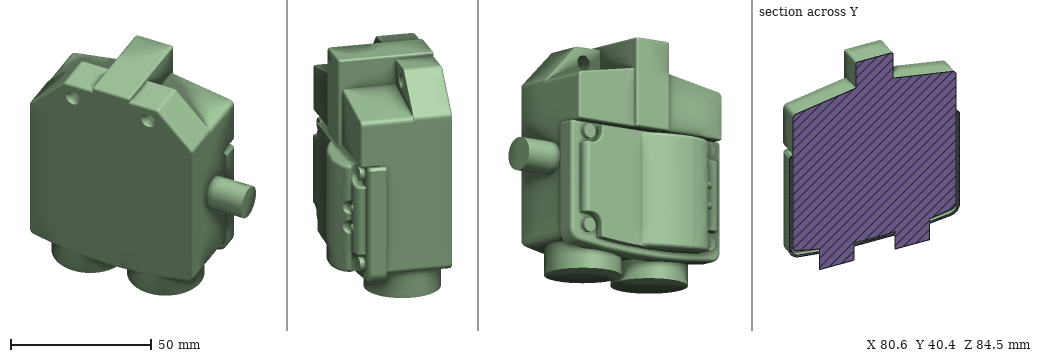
import cadquery as cq
import math

body_half_width = 32.5
plate_depth = 14.4
deck_depth = 26.95
shoulder_depth = 34.05
plate_top = 83.0
plate_top_half_width = 18.6
plate_side_top = 69.0
roof_apex = 74.8
roof_eave = 69.2
shoulder_bottom = 52.0
body_bottom_center = 7.2
body_bottom_side = 11.1
corner_radius = 2.0
front_edge_radius = 1.0
shoulder_edge_radius = 0.8

tongue_half_width = 7.5
tongue_depth = 35.6
tongue_top = 84.5
tongue_edge_radius = 0.85

pair_spacing = 30.1
hole_diameter = 5.5
hole_height = 77.4
socket_radius = 13.9
socket_axis_depth = 13.95
socket_length = 16.9
boss_radius = 6.0
boss_axis_depth = 17.0
boss_axis_height = 40.0
boss_end = 46.6

cover_half_width = 34.0
cover_front = 24.9
cover_depth = 31.5
cover_top = 51.9
cover_bottom_center = 5.9
cover_bottom_side = 8.45
cover_corner_radius = 4.2
cover_edge_radius = 1.3
cover_top_chamfer = 0.85
lip_thickness = 0.85

pad_half_width = 30.4
pad_depth = 35.15
pad_top = 50.45
pad_bottom_center = 8.7
pad_bottom_side = 10.7
pad_side_radius = 2.2
notch_edge_radius = 0.6
notch_inner = 23.0
notch_corner_radius = 4.2
notch_lower_end = 18.2
notch_upper_end = 43.9
screw_offset = notch_inner + notch_corner_radius
screw_heights = (notch_lower_end - notch_corner_radius, notch_upper_end + notch_corner_radius)
screw_radius = 2.5
screw_depth = 33.5

hump_peak_x = -13.9
hump_peak_depth = 40.4
hump_left_reach = 10.5
hump_slope_radius = 36.3
hump_edge_radius = 1.3
lamp_x = -25.5
lamp_heights = (27.3, 34.7)
lamp_radius = 1.6
lamp_center_depth = 34.5
lamp_recess_radius = 2.9


def front_plane(depth):
    """Sketch plane with X right and Z up, extruding towards the rear (+Y)."""
    return cq.Workplane(cq.Plane((0, depth, 0), (1, 0, 0), (0, -1, 0)))


def extrude_rear(sketch, start, end):
    return sketch.extrude(start - end)


def bowed_outline(start, half_width, top, bottom_center, bottom_side):
    """Rectangle whose bottom edge bows downwards."""
    return (
        front_plane(start)
        .moveTo(-half_width, top)
        .lineTo(half_width, top)
        .lineTo(half_width, bottom_side)
        .threePointArc((0, bottom_center), (-half_width, bottom_side))
        .close()
    )


def rear_box(half_width, start, end, bottom, top):
    """Box centred on X between two depths and two heights."""
    size = (2 * half_width, end - start, top - bottom)
    return cq.Workplane().box(*size, centered=(True, False, False)).translate((0, start, bottom))


def make_plate():
    outline = (
        front_plane(0)
        .moveTo(-body_half_width, body_bottom_side)
        .lineTo(-body_half_width, plate_side_top)
        .lineTo(-plate_top_half_width, plate_top)
        .lineTo(plate_top_half_width, plate_top)
        .lineTo(body_half_width, plate_side_top)
        .lineTo(body_half_width, body_bottom_side)
        .threePointArc((0, body_bottom_center), (-body_half_width, body_bottom_side))
        .close()
    )
    return extrude_rear(outline, 0, plate_depth).edges("|Y").fillet(corner_radius)


def make_lower_body():
    outline = bowed_outline(plate_depth, body_half_width, shoulder_bottom,
                            body_bottom_center, body_bottom_side)
    return extrude_rear(outline, plate_depth, deck_depth).edges("|Y").edges("<Z").fillet(corner_radius)


def roofed_block(start, end):
    """Upper body block with a roof sloping from the middle to both sides."""
    outline = (
        front_plane(start)
        .moveTo(-body_half_width, shoulder_bottom)
        .lineTo(-body_half_width, roof_eave)
        .lineTo(0, roof_apex)
        .lineTo(body_half_width, roof_eave)
        .lineTo(body_half_width, shoulder_bottom)
        .close()
    )
    eaves = cq.selectors.BoxSelector(
        (-2 * body_half_width, start, roof_eave - 0.85), (2 * body_half_width, end, roof_eave + 0.85)
    )
    return extrude_rear(outline, start, end).edges(eaves).edges("|Y").fillet(corner_radius)


def make_shoulder():
    inner_part = roofed_block(plate_depth, deck_depth)
    rear_part = roofed_block(deck_depth, shoulder_depth)
    rear_part = rear_part.faces("<Z").edges("|Y").fillet(shoulder_edge_radius)
    rear_part = rear_part.faces(">Y").edges().fillet(shoulder_edge_radius)
    return inner_part.union(rear_part)


def make_tongue():
    tongue = rear_box(tongue_half_width, 0, tongue_depth, shoulder_bottom, tongue_top)
    tongue = tongue.faces(">Z").edges("|Y").fillet(tongue_edge_radius)
    return tongue.faces(">Y").edges().fillet(tongue_edge_radius)


def make_body():
    body = make_plate().union(make_lower_body()).union(make_shoulder()).union(make_tongue())
    body = body.clean().faces("<Y").edges().fillet(front_edge_radius)
    for side in (-1, 1):
        x = side * pair_spacing / 2
        hole = front_plane(0).center(x, hole_height).circle(hole_diameter / 2)
        socket = cq.Workplane().center(x, socket_axis_depth).circle(socket_radius)
        body = body.cut(extrude_rear(hole, 0, plate_depth))
        body = body.union(socket.extrude(socket_length))
    boss = cq.Workplane("YZ").center(boss_axis_depth, boss_axis_height).circle(boss_radius)
    return body.union(boss.extrude(boss_end))


def make_cover():
    outline = bowed_outline(cover_front, cover_half_width, cover_top,
                            cover_bottom_center, cover_bottom_side)
    cover = extrude_rear(outline, cover_front, cover_depth)
    cover = cover.edges("|Y").edges("<Z").fillet(cover_corner_radius)
    cover = cover.edges("|Y").edges(">Z").chamfer(cover_top_chamfer)
    cover = cover.faces(">Y").edges().fillet(cover_edge_radius)
    cavity = bowed_outline(cover_front, cover_half_width - lip_thickness, cover_top - lip_thickness,
                           cover_bottom_center + lip_thickness, cover_bottom_side + lip_thickness)
    cavity = extrude_rear(cavity, cover_front, deck_depth)
    return cover.cut(cavity.edges("|Y").edges("<Z").fillet(cover_corner_radius - lip_thickness))


def pad_block(start, end):
    outline = bowed_outline(start, pad_half_width, pad_top, pad_bottom_center, pad_bottom_side)
    return extrude_rear(outline, start, end)


def make_pad():
    middle_band = rear_box(pad_half_width, deck_depth, pad_depth, notch_lower_end, notch_upper_end)
    center_column = rear_box(notch_inner, deck_depth, pad_depth, 0, pad_top)
    pad = middle_band.union(center_column.intersect(pad_block(deck_depth, pad_depth)))
    notch_corners = cq.selectors.BoxSelector(
        (-notch_inner - 0.85, deck_depth, notch_lower_end - 0.85),
        (notch_inner + 0.85, pad_depth, notch_upper_end + 0.85),
    )
    pad = pad.edges(notch_corners).edges("|Y").fillet(notch_corner_radius)
    pad = pad.faces("<X or >X").edges(">Y").fillet(pad_side_radius)
    notch_rims = (
        cq.selectors.BoxSelector((-pad_half_width, pad_depth - 0.1, side_bottom),
                                 (pad_half_width, pad_depth + 0.1, side_top))
        for side_bottom, side_top in ((0, notch_lower_end + 0.85), (notch_upper_end - 0.85, tongue_top))
    )
    for rim in notch_rims:
        pad = pad.faces(">Y").edges(rim).edges("not >Z").edges("not <Z").fillet(notch_edge_radius)
    for side in (-1, 1):
        for height in screw_heights:
            head = front_plane(deck_depth).center(side * screw_offset, height).circle(screw_radius)
            pad = pad.union(extrude_rear(head, deck_depth, screw_depth))
    return pad


def make_hump():
    rise = hump_peak_depth - pad_depth
    slope_angle = math.acos(1 - rise / hump_slope_radius)

    def slope_point(angle):
        return (hump_peak_x + hump_slope_radius * math.sin(angle),
                hump_peak_depth - hump_slope_radius * (1 - math.cos(angle)))

    profile = (
        cq.Workplane()
        .moveTo(hump_peak_x - hump_left_reach, pad_depth)
        .ellipseArc(hump_left_reach, rise, 90, 180, sense=-1)
        .threePointArc(slope_point(slope_angle / 2), slope_point(slope_angle))
        .close()
    )
    hump = profile.extrude(pad_top).intersect(pad_block(deck_depth, hump_peak_depth + 0.85))
    curved_ends = cq.selectors.BoxSelector(
        (-body_half_width, pad_depth + 0.85, 0), (body_half_width, hump_peak_depth + 0.85, tongue_top)
    )
    return hump.edges(curved_ends).edges("not |Z").fillet(hump_edge_radius)


result = make_body().union(make_cover()).union(make_pad()).union(make_hump())

for lamp_height in lamp_heights:
    recess = front_plane(pad_depth).center(lamp_x, lamp_height).circle(lamp_recess_radius)
    lamp = cq.Workplane().sphere(lamp_radius).translate((lamp_x, lamp_center_depth, lamp_height))
    result = result.cut(extrude_rear(recess, pad_depth, hump_peak_depth)).union(lamp)